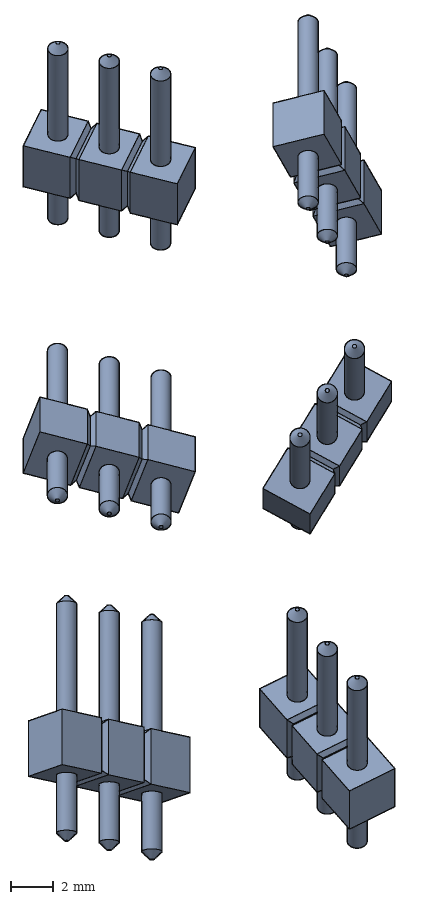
import cadquery as cq

pin_count = 3
housing_length = 7.62
housing_width = 2.55
housing_height = 2.7
notch_depth = 0.21
pin_diameter = 0.95
pin_length = 11.89
pin_tip_chamfer = 0.38
pin_tail_length = 3.19

pitch = housing_length / pin_count
first_pin_x = -(housing_length - pitch) / 2
pin_positions = [first_pin_x + i * pitch for i in range(pin_count)]
pin_bottom_z = -pin_tail_length


def make_segment(index):
    """One housing segment, chamfered where it meets a neighbouring segment."""
    segment = cq.Workplane("XY").box(pitch, housing_width, housing_height, centered=(True, True, False))
    if index > 0:
        segment = segment.faces("<X").chamfer(notch_depth)
    if index < pin_count - 1:
        segment = segment.faces(">X").chamfer(notch_depth)
    return segment.translate((pin_positions[index], 0, 0))


def make_pin(x):
    """Round pin with a tapered tip at each end."""
    return (
        cq.Workplane("XY", origin=(x, 0, pin_bottom_z))
        .circle(pin_diameter / 2)
        .extrude(pin_length)
        .faces("<Z or >Z")
        .chamfer(pin_tip_chamfer)
    )


def make_housing():
    """Row of joined segments with a through hole for each pin."""
    housing = make_segment(0)
    for index in range(1, pin_count):
        housing = housing.union(make_segment(index))
    holes = (
        cq.Workplane("XY")
        .pushPoints([(x, 0) for x in pin_positions])
        .circle(pin_diameter / 2)
        .extrude(housing_height)
    )
    return housing.cut(holes).solids()


housing = make_housing()
pins = [make_pin(x) for x in pin_positions]

result = cq.Compound.makeCompound([housing.val(), *[pin.val() for pin in pins]])